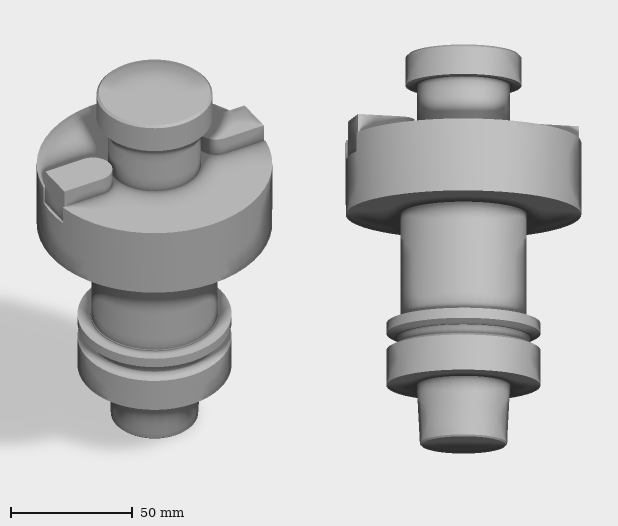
import cadquery as cq

total_height = 163.1
collar_bottom = 25.0
groove_bottom = 41.5
groove_top = 44.9
collar_top = 50.9
shaft_foot_top = 51.4
flange_bottom = 96.5
flange_top = 126.7
head_bottom = 150.5

flange_diameter = 96.7
taper_small_radius = 18.0
taper_large_radius = 19.2
collar_radius = 31.6
groove_radius = 27.4
shaft_radius = 26.0
shaft_foot_radius = 26.5
flange_radius = flange_diameter / 2
neck_radius = 19.1
head_radius = 23.8

taper_chamfer = 0.7
head_chamfer = 1.0
groove_chamfer_width = 3.6
groove_chamfer_height = 1.8

key_width = 16.0
key_height = 15.7
key_inner_reach = 21.0
key_outer_reach = 47.0
slot_rim_overrun = 1.6
key_bottom = flange_top - key_height / 2


def turned_body():
    """Revolve the half profile of the arbor about Z."""
    groove_lip_radius = collar_radius - groove_chamfer_width
    profile = [
        (0, 0),
        (taper_small_radius - taper_chamfer, 0),
        (taper_small_radius, taper_chamfer),
        (taper_large_radius, collar_bottom),
        (collar_radius, collar_bottom),
        (collar_radius, groove_bottom - groove_chamfer_height),
        (groove_lip_radius, groove_bottom),
        (groove_radius, groove_bottom),
        (groove_radius, groove_top),
        (groove_lip_radius, groove_top),
        (collar_radius, groove_top + groove_chamfer_height),
        (collar_radius, collar_top),
        (shaft_foot_radius, collar_top),
        (shaft_foot_radius, shaft_foot_top),
        (shaft_radius, shaft_foot_top),
        (shaft_radius, flange_bottom),
        (flange_radius, flange_bottom),
        (flange_radius, flange_top),
        (neck_radius, flange_top),
        (neck_radius, head_bottom),
        (head_radius, head_bottom),
        (head_radius, total_height - head_chamfer),
        (head_radius - head_chamfer, total_height),
        (0, total_height),
    ]
    return cq.Workplane("XZ").polyline(profile).close().revolve(360, (0, 0), (0, 1))


def round_ended_block(outer_reach, height):
    """Block along -Y with a full round at its inner end, standing on the slot floor."""
    half_width = key_width / 2
    round_start = -(key_inner_reach + half_width)
    return (
        cq.Workplane("XY", origin=(0, 0, key_bottom))
        .moveTo(-half_width, -outer_reach)
        .lineTo(-half_width, round_start)
        .threePointArc((0, -key_inner_reach), (half_width, round_start))
        .lineTo(half_width, -outer_reach)
        .close()
        .extrude(height)
    )


slot = round_ended_block(flange_radius + slot_rim_overrun, flange_top - key_bottom)
key = round_ended_block(key_outer_reach, key_height)

result = turned_body()
for angle in (0, 180):
    result = result.cut(slot.rotate((0, 0, 0), (0, 0, 1), angle))
    result = result.union(key.rotate((0, 0, 0), (0, 0, 1), angle))